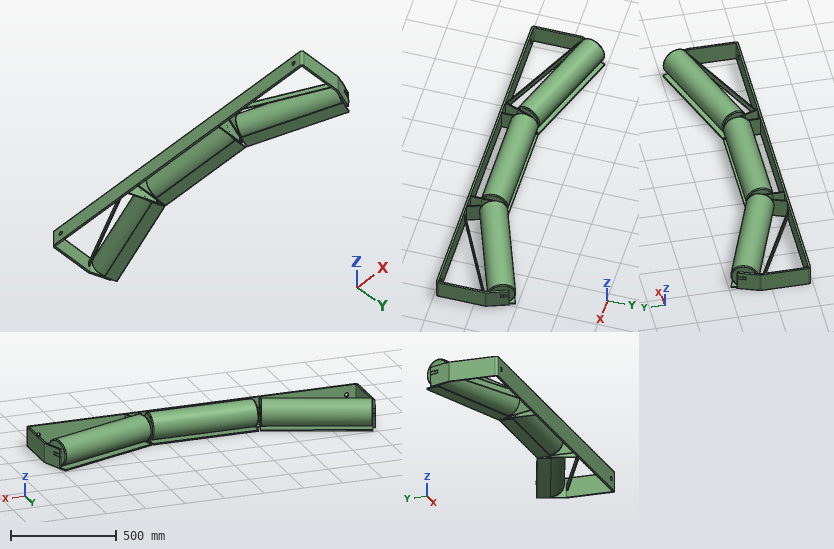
import cadquery as cq
import math

frame_length = 1680.0
frame_height = 97.0
frame_thickness = 10.0
bend_radius = 13.0
bend_inner_radius = bend_radius - frame_thickness
arm_bend_y = 245.0
arm_tip_y = 351.0
mount_hole_diameter = 20.0
mount_hole_x = 783.0

tilt = 20.0
roller_radius = 67.0
roller_length = 538.0
rim_chamfer = 5.0
roller_axis_z = roller_radius
middle_roller_y = 126.0
outer_roller_x = 551.0
outer_roller_y = 223.0
shaft_side = 15.0

lip_width = 65.0
lip_drop = 5.0
lip_overlap = 2.0

bracket_thickness = 6.0
bracket_top_y = 153.0

strut_thickness = 5.5
strut_height = 30.0
strut_foot_x = 363.0
strut_end_y = 242.0

SIDES = (-1, 1)
sin_tilt = math.sin(math.radians(tilt))
cos_tilt = math.cos(math.radians(tilt))
tan_tilt = sin_tilt / cos_tilt

half_roller = roller_length / 2
half_frame = frame_length / 2
outer_roller_inner_end_x = outer_roller_x - half_roller * cos_tilt
outer_roller_inner_end_y = outer_roller_y - half_roller * sin_tilt


def place_on_roller(shape, side):
    """Move a shape built around a roller along X to its place: side 0 is the middle roller."""
    if side == 0:
        return shape.translate((0, middle_roller_y, roller_axis_z))
    turned = shape.rotate((0, 0, 0), (0, 0, 1), side * tilt)
    return turned.translate((side * outer_roller_x, outer_roller_y, roller_axis_z))


def shaft_slots(side, plate_thickness):
    """Slots for both ends of a square roller shaft, open toward +Y."""
    slot_length = roller_length + 2 * plate_thickness
    slot = cq.Workplane("XY").box(slot_length, shaft_side + roller_radius, shaft_side)
    return place_on_roller(slot.translate((0, roller_radius / 2, 0)), side)


def make_roller(side, left_plate, right_plate):
    """Roller whose shaft ends lie flush with the outer faces of the plates that carry it."""
    drum = cq.Workplane("YZ").workplane(offset=-half_roller).circle(roller_radius).extrude(roller_length)
    drum = drum.faces("<X or >X").chamfer(rim_chamfer)
    shaft = cq.Workplane("XY").box(roller_length + left_plate + right_plate, shaft_side, shaft_side)
    shaft = shaft.translate(((right_plate - left_plate) / 2, 0, 0))
    lip_height = lip_drop + lip_overlap
    lip = cq.Workplane("XY").box(roller_length, lip_width, lip_height, centered=(True, False, False))
    lip = lip.translate((0, 0, -roller_radius - lip_drop))
    return place_on_roller(drum.union(shaft).union(lip), side)


def make_frame():
    """One bent half with its mounting hole and shaft slot, mirrored across X = 0."""
    t = frame_thickness
    tip_x = half_frame - (arm_tip_y - arm_bend_y) * tan_tilt
    inner_bend_y = arm_bend_y - t * math.tan(math.radians(tilt / 2))
    outer_half = [(0, 0), (half_frame, 0), (half_frame, arm_bend_y), (tip_x, arm_tip_y)]
    inner_half = [
        (tip_x - t * cos_tilt, arm_tip_y - t * sin_tilt),
        (half_frame - t, inner_bend_y),
        (half_frame - t, t),
        (0, t),
    ]
    half = cq.Workplane("XY").polyline(outer_half + inner_half).close().extrude(frame_height)

    def bend(body, x, y, radius):
        edge = cq.selectors.NearestToPointSelector((x, y, frame_height / 2))
        return body.edges("|Z").edges(edge).fillet(radius)

    half = bend(half, half_frame, 0, bend_radius)
    half = bend(half, half_frame - t, t, bend_inner_radius)
    half = bend(half, half_frame, arm_bend_y, bend_radius)
    half = bend(half, half_frame - t, inner_bend_y, bend_inner_radius)
    hole = cq.Workplane("XZ").center(mount_hole_x, frame_height / 2).circle(mount_hole_diameter / 2)
    half = half.cut(hole.extrude(-t)).cut(shaft_slots(1, t))
    return half.union(half.mirror("YZ"))


def make_bracket(side):
    """Square leg against the middle roller, sloped leg against the outer roller, joined at the top."""
    t = bracket_thickness
    foot_y = frame_thickness
    top_y = bracket_top_y

    def sloped_face_x(y):
        return outer_roller_inner_end_x - (y - outer_roller_inner_end_y) * tan_tilt

    slope_width = t / cos_tilt
    outline = [
        (half_roller, foot_y),
        (half_roller, top_y),
        (sloped_face_x(top_y), top_y),
        (sloped_face_x(foot_y), foot_y),
        (sloped_face_x(foot_y) - slope_width, foot_y),
        (sloped_face_x(top_y - t) - slope_width, top_y - t),
        (half_roller + t, top_y - t),
        (half_roller + t, foot_y),
    ]
    outline = [(side * x, y) for x, y in outline]
    bracket = cq.Workplane("XY").polyline(outline).close().extrude(frame_height)
    return bracket.cut(shaft_slots(0, t)).cut(shaft_slots(side, t))


def make_strut(side):
    """Flat bar at mid height, from the long bar to the arm just below its bend."""
    foot_y = frame_thickness
    end_x = half_frame - frame_thickness
    slope = math.atan2(strut_end_y - foot_y, end_x - strut_foot_x)
    foot_width = strut_thickness / math.sin(slope)
    end_width = strut_thickness / math.cos(slope)
    outline = [
        (strut_foot_x, foot_y),
        (end_x, strut_end_y),
        (end_x, strut_end_y - end_width),
        (strut_foot_x + foot_width, foot_y),
    ]
    outline = [(side * x, y) for x, y in outline]
    strut_bottom_z = (frame_height - strut_height) / 2
    return cq.Workplane("XY").workplane(offset=strut_bottom_z).polyline(outline).close().extrude(strut_height)


frame = make_frame()
rollers = [
    make_roller(-1, frame_thickness, bracket_thickness),
    make_roller(0, bracket_thickness, bracket_thickness),
    make_roller(1, bracket_thickness, frame_thickness),
]
brackets = [make_bracket(side) for side in SIDES]
struts = [make_strut(side) for side in SIDES]

result = cq.Compound.makeCompound([body.val() for body in [frame, *rollers, *brackets, *struts]])